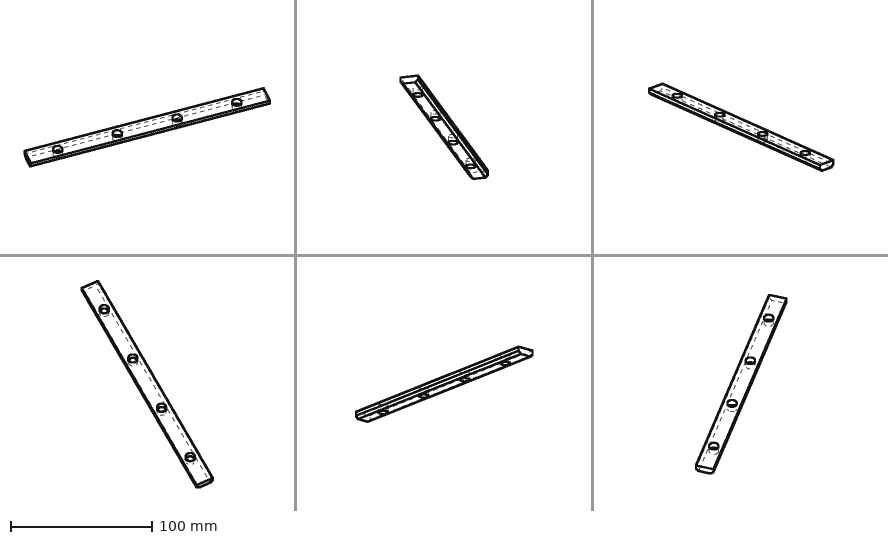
import cadquery as cq

width = 13.0
length = 180.0
height = 5.0

bevel = 2.0

hole_diameter = 6.7
hole_count = 4
hole_pitch = length / hole_count

bar = cq.Workplane("XY").box(width, length, height)
beveled_bar = bar.edges("|Y and <Z").chamfer(bevel)

result = (
    beveled_bar.faces(">Z")
    .workplane()
    .rarray(width, hole_pitch, 1, hole_count)
    .hole(hole_diameter)
)